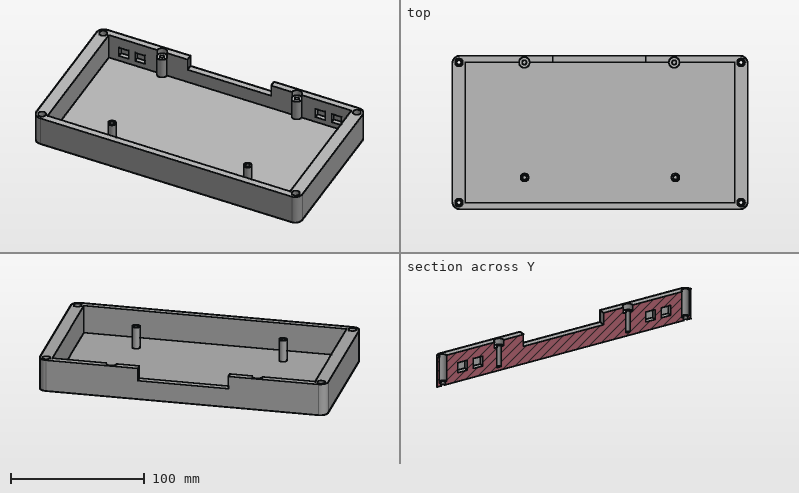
import cadquery as cq

LENGTH = 221.0
WIDTH = 115.0
HEIGHT = 25.0
CORNER_RADIUS = 6.0
END_WALL = 9.7
SIDE_WALL = 5.0
FLOOR = 3.0

CORNER_HOLE_INSET = 5.0
CORNER_HOLE_DIAMETER = 3.3
CORNER_BORE_DIAMETER = 6.0

POST_TOP = 20.1
POST_HOLE_DIAMETER = 3.3
REAR_POST_DIAMETER = 8.0
REAR_POST_X = (-56.5, 55.5)
FRONT_POST_DIAMETER = 6.0
FRONT_POST_SPACING = 112.8
FRONT_POST_Y = -33.5

NOTCH_START = -35.4
NOTCH_END = 34.0
NOTCH_BOTTOM = 15.0

POCKET_SIZE = 8.0
POCKET_DEPTH = 3.5
POCKET_BOTTOM = 7.7
POCKET_OFFSETS = (75.0, 88.5)

corner_hole_x = LENGTH / 2 - CORNER_HOLE_INSET
corner_hole_y = WIDTH / 2 - CORNER_HOLE_INSET
rear_post_y = corner_hole_y
rear_wall_inner = WIDTH / 2 - SIDE_WALL


def cylinder(x, y, diameter, bottom, top):
    """Upright cylinder between two heights."""
    base = cq.Workplane("XY", origin=(x, y, bottom))
    return base.circle(diameter / 2).extrude(top - bottom)


def rear_wall_block(x_start, x_end, depth, bottom, top):
    """Box reaching from the inner face of the rear wall into the wall."""
    corner = (x_start, rear_wall_inner, bottom)
    return cq.Workplane("XY").box(x_end - x_start, depth, top - bottom, centered=False).translate(corner)


def make_tray():
    """Open box with rounded outer corners and a square-cornered cavity."""
    body = cq.Workplane("XY").rect(LENGTH, WIDTH).extrude(HEIGHT)
    body = body.edges("|Z").fillet(CORNER_RADIUS)
    cavity = cq.Workplane("XY", origin=(0, 0, FLOOR))
    cavity = cavity.rect(LENGTH - 2 * END_WALL, WIDTH - 2 * SIDE_WALL).extrude(HEIGHT - FLOOR)
    return body.cut(cavity)


def cut_corner_holes(body):
    for x in (-corner_hole_x, corner_hole_x):
        for y in (-corner_hole_y, corner_hole_y):
            body = body.cut(cylinder(x, y, CORNER_HOLE_DIAMETER, 0, HEIGHT))
            body = body.cut(cylinder(x, y, CORNER_BORE_DIAMETER, FLOOR, HEIGHT))
    return body


def cut_notch(body):
    """Lower the middle of the rear wall through its full thickness."""
    return body.cut(rear_wall_block(NOTCH_START, NOTCH_END, SIDE_WALL, NOTCH_BOTTOM, HEIGHT))


def cut_pockets(body):
    for side in (-1, 1):
        for offset in POCKET_OFFSETS:
            x_start = side * offset - POCKET_SIZE / 2
            x_end = x_start + POCKET_SIZE
            pocket_top = POCKET_BOTTOM + POCKET_SIZE
            body = body.cut(rear_wall_block(x_start, x_end, POCKET_DEPTH, POCKET_BOTTOM, pocket_top))
    return body


def add_post(body, x, y, diameter):
    """Add a post with a hole down to floor level, clearing any wall above the post."""
    body = body.cut(cylinder(x, y, diameter, POST_TOP, HEIGHT))
    body = body.union(cylinder(x, y, diameter, 0, POST_TOP))
    return body.cut(cylinder(x, y, POST_HOLE_DIAMETER, FLOOR, POST_TOP))


result = make_tray()
result = cut_corner_holes(result)
result = cut_notch(result)
result = cut_pockets(result)

for post_x in REAR_POST_X:
    result = add_post(result, post_x, rear_post_y, REAR_POST_DIAMETER)

for post_x in (-FRONT_POST_SPACING / 2, FRONT_POST_SPACING / 2):
    result = add_post(result, post_x, FRONT_POST_Y, FRONT_POST_DIAMETER)